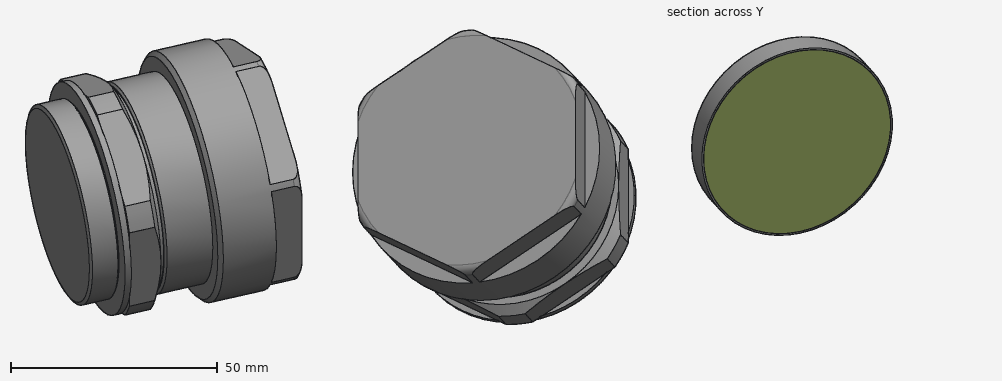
import cadquery as cq
import math

total_length = 53.25

plug_end = 7.05
flange_start = 7.45
flange_end = 9.05
nut_end = 17.1
neck_end = 18.5
body_end = 30.75
collar_end = 45.4

plug_diameter = 49.9
relief_diameter = 49.0
flange_diameter = 58.0
neck_diameter = 51.0
body_diameter = 52.9
collar_diameter = 62.5

plug_chamfer_length = 0.5
plug_chamfer_depth = 0.9
body_chamfer = 0.55
collar_chamfer = 1.05
cap_fillet = 2.0

across_flats = 55.0
nut_corner_diameter = 60.0
nut_crown_diameter = 55.0
nut_chamfer_length = 1.55


def cylinder(diameter, start, end):
    """Solid cylinder on the Y axis between two stations."""
    plane = cq.Workplane("XZ", origin=(0, start, 0))
    return plane.circle(diameter / 2).extrude(start - end)


def hexagon(start, end):
    """Hexagonal prism on the Y axis with corners at +Z and -Z."""
    corner_circle = across_flats / math.cos(math.radians(30))
    plane = cq.Workplane("XZ", origin=(0, start, 0))
    return plane.transformed(rotate=(0, 0, 30)).polygon(6, corner_circle).extrude(start - end)


def make_plug():
    """Closed plug with a shallow chamfer and a relief groove behind it."""
    radius = plug_diameter / 2
    plug = (
        cq.Workplane("XY")
        .polyline([
            (0, 0),
            (radius - plug_chamfer_depth, 0),
            (radius, plug_chamfer_length),
            (radius, plug_end),
            (0, plug_end),
        ])
        .close()
        .revolve(360, (0, 0, 0), (0, 1, 0))
    )
    return plug.union(cylinder(relief_diameter, plug_end, flange_start))


def make_nut():
    """Hexagon with turned corners and a conical chamfer on its rear face."""
    corner_radius = nut_corner_diameter / 2
    turned_blank = (
        cq.Workplane("XY")
        .polyline([
            (0, flange_end),
            (corner_radius, flange_end),
            (corner_radius, nut_end - nut_chamfer_length),
            (nut_crown_diameter / 2, nut_end),
            (0, nut_end),
        ])
        .close()
        .revolve(360, (0, 0, 0), (0, 1, 0))
    )
    return hexagon(flange_end, nut_end).intersect(turned_blank)


def make_cap():
    """Round collar with hexagonal flats milled into its filleted rear end."""
    collar = cylinder(collar_diameter, body_end, collar_end).faces("<Y").chamfer(collar_chamfer)
    turned_end = cylinder(collar_diameter, collar_end, total_length).faces(">Y").edges().fillet(cap_fillet)
    return collar.union(turned_end.intersect(hexagon(collar_end, total_length)))


flange = cylinder(flange_diameter, flange_start, flange_end)
neck = cylinder(neck_diameter, nut_end, neck_end)
body = cylinder(body_diameter, neck_end, body_end).faces("<Y").chamfer(body_chamfer)

result = make_plug()
for section in (flange, make_nut(), neck, body, make_cap()):
    result = result.union(section)